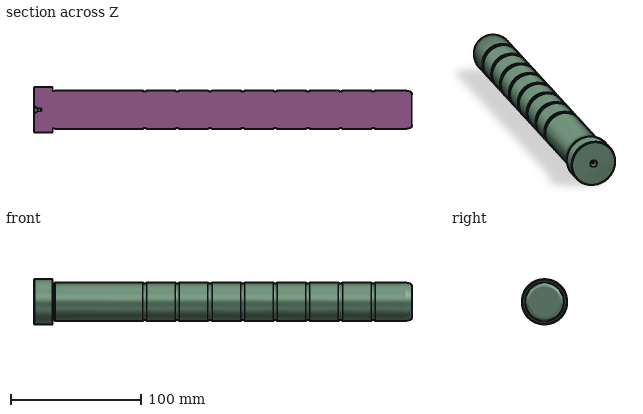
import cadquery as cq
import math

length = 290.0
head_diameter = 35.0
head_length = 14.5
head_chamfer = 0.5
shaft_diameter = 30.0
head_radius = head_diameter / 2
shaft_radius = shaft_diameter / 2

relief_width = 1.7
relief_depth = 0.5
relief_slope = 0.5

groove_count = 8
first_groove_x = 85.0
last_groove_x = length - 30.0
groove_pitch = (last_groove_x - first_groove_x) / (groove_count - 1)
groove_width = 3.2
groove_depth = 1.0

taper_length = 2.5
taper_depth = 0.5
tip_radius = 2.5

centre_mouth_diameter = 5.5
centre_diameter = 2.0
centre_bore_length = 2.3
countersink_angle = 60.0
drill_point_angle = 120.0


def pin_body():
    """Revolve the half outline of the pin about the X axis."""
    relief_end = head_length + relief_width
    relief_radius = shaft_radius - relief_depth
    outline = (
        cq.Workplane("XZ")
        .moveTo(0, 0)
        .lineTo(0, head_radius - head_chamfer)
        .lineTo(head_chamfer, head_radius)
        .lineTo(head_length - head_chamfer, head_radius)
        .lineTo(head_length, head_radius - head_chamfer)
        .lineTo(head_length, relief_radius)
        .lineTo(relief_end - relief_slope, relief_radius)
        .lineTo(relief_end, shaft_radius)
    )
    for index in range(groove_count):
        x = first_groove_x + index * groove_pitch
        outline = outline.lineTo(x - groove_width / 2, shaft_radius).threePointArc(
            (x, shaft_radius - groove_depth),
            (x + groove_width / 2, shaft_radius),
        )
    tip_start = length - tip_radius
    taper_radius = shaft_radius - taper_depth
    arc_offset = tip_radius * math.sqrt(0.5)
    outline = (
        outline.lineTo(tip_start - taper_length, shaft_radius)
        .lineTo(tip_start, taper_radius)
        .threePointArc(
            (tip_start + arc_offset, taper_radius - tip_radius + arc_offset),
            (length, taper_radius - tip_radius),
        )
        .lineTo(length, 0)
        .close()
    )
    return outline.revolve(360, (0, 0, 0), (1, 0, 0))


def centre_hole():
    """Revolve the half outline of the centre hole about the X axis."""
    mouth_radius = centre_mouth_diameter / 2
    bore_radius = centre_diameter / 2
    bore_start = (mouth_radius - bore_radius) / math.tan(math.radians(countersink_angle / 2))
    bore_end = bore_start + centre_bore_length
    point_length = bore_radius / math.tan(math.radians(drill_point_angle / 2))
    return (
        cq.Workplane("XZ")
        .moveTo(0, 0)
        .lineTo(0, mouth_radius)
        .lineTo(bore_start, bore_radius)
        .lineTo(bore_end, bore_radius)
        .lineTo(bore_end + point_length, 0)
        .close()
        .revolve(360, (0, 0, 0), (1, 0, 0))
    )


result = pin_body().cut(centre_hole())